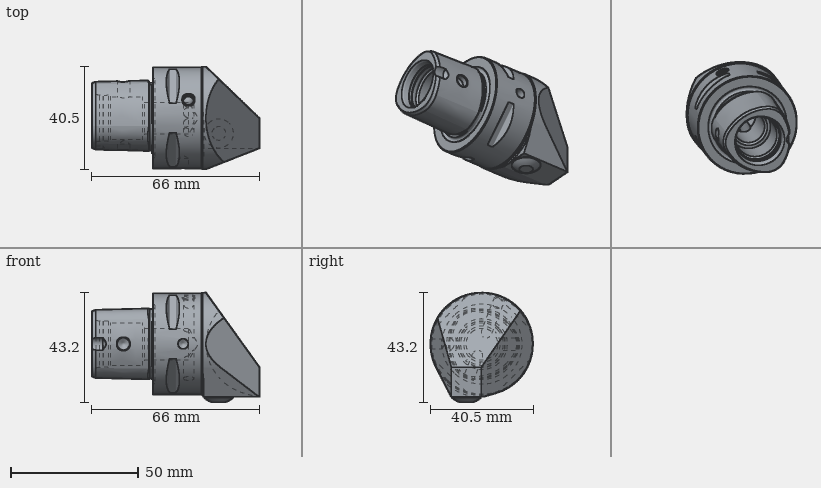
import cadquery as cq
import math


lobe_reach = 14.85
flank_reach = 13.15
lobe_radius = 8.45
lobe_count = 3
lobe_pitch = 360 / lobe_count
shank_end = 22.3
shank_inset = 0.5
tip_chamfer_length = 1.45
tip_chamfer_inset = 0.65

lobe_trim_start = 22.0
neck_start = 22.8
neck_radius = 13.9
neck_disc_start = 23.5
root_inset = 0.2

collar_start = 23.9
collar_end = 43.0
collar_radius = 20.0
collar_chamfer = 0.3
face_groove_outer_radius = 15.8

head_start = 43.6
head_radius = 40.45 / 2
corner_start = 44.0
corner_root_radius = 21.0
slope_start = 44.9
head_end = 66.0
head_bottom = -20.85
front_tangent_angle = 207.2
back_tangent_angle = 286.0
nose_top = -9.2
nose_front = -11.95
nose_back = -0.1

bore_mouth_radius = 20.0 / 2
bore_entry_radius = 19.15 / 2
bore_pilot_radius = 18.0 / 2
bore_main_radius = 16.75 / 2
bore_ledge_radius = 14.25 / 2
bore_end_radius = 12.5 / 2
bore_mouth_end = 0.8
bore_groove_radius = 9.2
bore_groove_start = 3.0
bore_groove_end = 4.3
bore_flank_end = 4.5
bore_flare_radius = 9.2
bore_flare_start = 5.7
bore_flare_end = 6.55
bore_main_start = 7.3
bore_ledge = 19.8
bore_end = 38.0
bore_tip = 41.8

slot_count = 4
slot_x = 31.9
slot_floor_width = 2.5
slot_mouth_width = 5.2
slot_floor_distance = 17.6
slot_corner_radius = 0.25

drill_tip_angle = 118
shank_hole_x = 12.4
shank_hole_diameter = 4.9
shank_hole_rim_diameter = 5.4
shank_hole_rim_depth = 0.5
shank_hole_bottom = 10.2
collar_hole_x = 35.9
collar_hole_diameter = 4.0
collar_hole_bottom = 15.85
notch_diameter = 5.35
notch_distance = 13.6
notch_length = 4.2
notch_tip = 6.35

wall_hole_diameter = 5.0

channel_x = 38.0
channel_tilt = 21.3
channel_diameter = 4.2
channel_far_end = 14.5
channel_mouth_diameter = 5.1
channel_mouth_depth = 0.5
ball_depth = 2.65

button_x = 49.9
button_y = -6.0
button_diameter = 11.4
button_rim = 0.3
overall_height = 43.2
button_height = overall_height - head_radius + head_bottom
button_flat_diameter = 5.4

clearance = 3.3


def revolve_about_x(outline):
    return outline.close().revolve(360, (0, 0, 0), (1, 0, 0))


def revolve_points(points):
    return revolve_about_x(cq.Workplane("XY").polyline(points))


def polar(radius, angle):
    """Point at an angle measured from +Y towards +Z."""
    turn = math.radians(angle)
    return radius * math.cos(turn), radius * math.sin(turn)


def shank_outline(sketch, inset):
    """Three-lobed outline, moved inwards by the inset along its normals."""
    lobe_centre = lobe_reach - lobe_radius
    flank_gap = flank_reach - lobe_radius
    flank_centre = (lobe_centre**2 - flank_gap**2) / (2 * flank_gap - lobe_centre)
    flank_centre_y, flank_centre_z = polar(flank_centre, -lobe_pitch)
    normal = math.atan2(-flank_centre_z, lobe_centre - flank_centre_y)
    joint_y = lobe_centre + (lobe_radius - inset) * math.cos(normal)
    joint_z = (lobe_radius - inset) * math.sin(normal)
    joint_reach = math.hypot(joint_y, joint_z)
    joint_angle = math.degrees(math.atan2(joint_z, joint_y))

    sketch = sketch.moveTo(*polar(joint_reach, -joint_angle))
    for lobe in range(lobe_count):
        middle = lobe * lobe_pitch
        next_middle = middle + lobe_pitch
        sketch = sketch.threePointArc(
            polar(lobe_reach - inset, middle),
            polar(joint_reach, middle + joint_angle),
        )
        sketch = sketch.threePointArc(
            polar(flank_reach - inset, middle + lobe_pitch / 2),
            polar(joint_reach, next_middle - joint_angle),
        )
    return sketch.close()


def make_shank():
    tip = shank_outline(cq.Workplane("YZ"), shank_inset + tip_chamfer_inset)
    chamfer_end = shank_outline(tip.workplane(offset=tip_chamfer_length), shank_inset)
    taper_end = shank_outline(chamfer_end.workplane(offset=shank_end - tip_chamfer_length), 0)
    root_start = shank_outline(taper_end.workplane(offset=neck_start - shank_end), root_inset)
    tapered = root_start.loft(ruled=True)
    root_length = collar_start + clearance - neck_start
    root = shank_outline(cq.Workplane("YZ").workplane(offset=neck_start), root_inset).extrude(root_length)
    lobe_limit = revolve_points([
        (0, 0),
        (0, lobe_reach + clearance),
        (lobe_trim_start, lobe_reach + clearance),
        (lobe_trim_start, lobe_reach),
        (neck_start, neck_radius),
        (collar_start + clearance, neck_radius),
        (collar_start + clearance, 0),
    ])
    return tapered.union(root).intersect(lobe_limit)


def make_neck_disc():
    length = collar_start + clearance - neck_disc_start
    return cq.Workplane("YZ").workplane(offset=neck_disc_start).circle(neck_radius).extrude(length)


def make_collar():
    collar = revolve_points([
        (collar_start, 0),
        (collar_start, collar_radius - collar_chamfer),
        (collar_start + collar_chamfer, collar_radius),
        (collar_end, collar_radius),
        (head_start, head_radius),
        (head_start, 0),
    ])
    groove_depth = (face_groove_outer_radius - neck_radius) / 2
    groove_middle = (face_groove_outer_radius + neck_radius) / 2
    groove = revolve_about_x(
        cq.Workplane("XY")
        .moveTo(collar_start, neck_radius)
        .threePointArc(
            (collar_start + groove_depth, groove_middle),
            (collar_start, face_groove_outer_radius),
        )
    )
    return collar.cut(groove)


def tangent_meets_bottom(angle):
    """Y at which the tangent to the head circle at this angle reaches the head bottom."""
    tangent_y, tangent_z = polar(head_radius, angle)
    return tangent_y - (head_bottom - tangent_z) * math.tan(math.radians(angle))


def slope_cutter(plane, start, end):
    """Wedge outside the line that runs from the slope start to the end face."""
    outward = math.copysign(2 * head_radius, start)
    run = head_end - slope_start
    overrun = clearance / run
    return (
        cq.Workplane(plane)
        .polyline([
            (slope_start - clearance, start - (end - start) * overrun),
            (head_end + clearance, end + (end - start) * overrun),
            (head_end + clearance, outward),
            (slope_start - clearance, outward),
        ])
        .close()
        .extrude(2 * head_radius, both=True)
    )


def make_head():
    length = head_end - collar_end
    head = cq.Workplane("YZ").workplane(offset=collar_end).circle(head_radius).extrude(length)
    corner = (
        cq.Workplane("YZ")
        .workplane(offset=collar_end)
        .polyline([
            (0, 0),
            polar(head_radius, front_tangent_angle),
            (tangent_meets_bottom(front_tangent_angle), head_bottom),
            (tangent_meets_bottom(back_tangent_angle), head_bottom),
            polar(head_radius, back_tangent_angle),
        ])
        .close()
        .extrude(length)
    )
    outer_radius = corner_root_radius + 2 * clearance
    limit = revolve_about_x(
        cq.Workplane("XY")
        .moveTo(collar_end, 0)
        .lineTo(collar_end, collar_radius)
        .lineTo(head_start, head_radius)
        .lineTo(corner_start, corner_root_radius)
        .lineTo(corner_start, outer_radius)
        .lineTo(head_end, outer_radius)
        .lineTo(head_end, 0)
    )
    return (
        head.union(corner)
        .intersect(limit)
        .cut(slope_cutter("XZ", head_radius, nose_top))
        .cut(slope_cutter("XY", -head_radius, nose_front))
        .cut(slope_cutter("XY", head_radius, nose_back))
    )


def make_bore():
    ledge_chamfer = bore_ledge_radius - bore_end_radius
    return revolve_points([
        (0, 0),
        (0, bore_mouth_radius),
        (bore_mouth_end, bore_entry_radius),
        (bore_groove_start, bore_pilot_radius),
        (bore_groove_start, bore_groove_radius),
        (bore_groove_end, bore_groove_radius),
        (bore_flank_end, bore_pilot_radius),
        (bore_flare_start, bore_pilot_radius),
        (bore_flare_end, bore_flare_radius),
        (bore_main_start, bore_main_radius),
        (bore_ledge, bore_main_radius),
        (bore_ledge, bore_ledge_radius),
        (bore_ledge + ledge_chamfer, bore_end_radius),
        (bore_end, bore_end_radius),
        (bore_tip, 0),
    ])


def make_key_slots():
    slope = (slot_mouth_width - slot_floor_width) / 2 / (collar_radius - slot_floor_distance)
    outer_distance = collar_radius + clearance
    outer_half = slot_floor_width / 2 + slope * (outer_distance - slot_floor_distance)
    slot = (
        cq.Workplane("XZ")
        .polyline([
            (slot_x - slot_floor_width / 2, slot_floor_distance),
            (slot_x + slot_floor_width / 2, slot_floor_distance),
            (slot_x + outer_half, outer_distance),
            (slot_x - outer_half, outer_distance),
        ])
        .close()
        .extrude(collar_radius, both=True)
    )
    slot = slot.faces("<Z").edges("|Y").fillet(slot_corner_radius)
    slot_pitch = 360 / slot_count
    slots = cq.Workplane("XY")
    for index in range(slot_count):
        slots = slots.add(slot.rotate((0, 0, 0), (1, 0, 0), (index + 0.5) * slot_pitch))
    return slots.combine()


def drilled_hole(diameter, bottom, outer):
    """Drill shape along +Z: a cylinder above `bottom` with a cone below it."""
    radius = diameter / 2
    tip = radius / math.tan(math.radians(drill_tip_angle / 2))
    return (
        cq.Workplane("XZ")
        .polyline([(0, bottom - tip), (radius, bottom), (radius, outer), (0, outer)])
        .close()
        .revolve(360, (0, 0, 0), (0, 1, 0))
    )


def make_side_holes():
    shank_hole = drilled_hole(shank_hole_diameter, shank_hole_bottom, lobe_reach + clearance)
    shank_rim = (
        cq.Workplane("XY")
        .workplane(offset=flank_reach - shank_hole_rim_depth)
        .circle(shank_hole_rim_diameter / 2)
        .extrude(clearance)
    )
    collar_hole = drilled_hole(collar_hole_diameter, collar_hole_bottom, collar_radius + clearance)
    holes = shank_hole.union(shank_rim).translate((shank_hole_x, 0, 0))
    holes = holes.add(collar_hole.translate((collar_hole_x, 0, 0)))
    return holes.combine().rotate((0, 0, 0), (1, 0, 0), 90)


def make_end_notch():
    radius = notch_diameter / 2
    drill = revolve_points([(0, 0), (0, radius), (notch_length, radius), (notch_tip, 0)])
    return drill.translate((0, -notch_distance, 0))


def make_wall_hole():
    hole = cq.Workplane("XZ").center(shank_hole_x, 0).circle(wall_hole_diameter / 2)
    return hole.extrude(-lobe_reach - clearance)


def place_in_channel(shape):
    """Turn a shape built on the Z axis onto the tilted channel axis."""
    return shape.rotate((0, 0, 0), (1, 0, 0), -channel_tilt).translate((channel_x, 0, 0))


def make_channel():
    mouth_radius = channel_mouth_diameter / 2
    radius = channel_diameter / 2
    channel = (
        cq.Workplane("XZ")
        .polyline([
            (0, -channel_far_end),
            (radius, -channel_far_end),
            (radius, collar_radius - channel_mouth_depth),
            (mouth_radius, collar_radius - channel_mouth_depth),
            (mouth_radius, collar_radius + clearance),
            (0, collar_radius + clearance),
        ])
        .close()
        .revolve(360, (0, 0, 0), (0, 1, 0))
    )
    return place_in_channel(channel)


def make_holder():
    return (
        make_shank()
        .union(make_collar())
        .union(make_neck_disc())
        .union(make_head())
        .cut(make_bore())
        .cut(make_key_slots())
        .cut(make_side_holes())
        .cut(make_wall_hole())
        .cut(make_end_notch())
        .cut(make_channel())
        .solids()
    )


def make_sealing_ball():
    ball = cq.Workplane("XY").sphere(channel_diameter / 2)
    return place_in_channel(ball.translate((0, 0, collar_radius - ball_depth)))


def make_button():
    """Disc with a short straight rim and a spherical dome cut off flat."""
    rim_radius = button_diameter / 2
    flat_radius = button_flat_diameter / 2
    dome_height = button_height - button_rim
    centre_height = (rim_radius**2 - flat_radius**2 - dome_height**2) / (2 * dome_height)
    dome_radius = math.hypot(rim_radius, centre_height)
    middle_radius = (rim_radius + flat_radius) / 2
    middle_depth = button_rim + math.sqrt(dome_radius**2 - middle_radius**2) - centre_height
    button = (
        cq.Workplane("XZ")
        .moveTo(0, 0)
        .lineTo(rim_radius, 0)
        .lineTo(rim_radius, -button_rim)
        .threePointArc((middle_radius, -middle_depth), (flat_radius, -button_height))
        .lineTo(0, -button_height)
        .close()
        .revolve(360, (0, 0, 0), (0, 1, 0))
    )
    return button.translate((button_x, button_y, head_bottom))


holder = make_holder()
sealing_ball = make_sealing_ball()
button = make_button()

result = cq.Compound.makeCompound([holder.val(), sealing_ball.val(), button.val()])